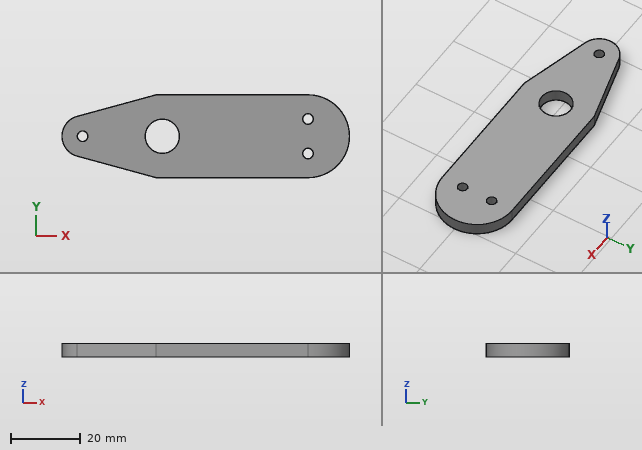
import cadquery as cq
import math

length = 83.0
width = 24.0
thickness = 4.0

nose_radius = 6.0
tail_radius = width / 2
taper_length = 27.2

pin_hole_diameter = 3.0
large_hole_diameter = 9.8
large_hole_offset = 29.0
tail_hole_spacing = 9.95

nose_center_x = nose_radius
tail_center_x = length - tail_radius

corner_dx = taper_length - nose_center_x
corner_distance = math.hypot(corner_dx, tail_radius)
tangent_angle = math.atan2(tail_radius, corner_dx) + math.acos(nose_radius / corner_distance)
tangent_x = nose_center_x + nose_radius * math.cos(tangent_angle)
tangent_y = nose_radius * math.sin(tangent_angle)

plate = (
    cq.Workplane("XY")
    .moveTo(tangent_x, tangent_y)
    .lineTo(taper_length, tail_radius)
    .lineTo(tail_center_x, tail_radius)
    .threePointArc((length, 0), (tail_center_x, -tail_radius))
    .lineTo(taper_length, -tail_radius)
    .lineTo(tangent_x, -tangent_y)
    .threePointArc((0, 0), (tangent_x, tangent_y))
    .close()
    .extrude(thickness)
)


def through_holes(centers, diameter):
    """Cylinders that cut through the full plate thickness."""
    return cq.Workplane("XY").pushPoints(centers).circle(diameter / 2).extrude(thickness)


pin_hole_centers = [
    (nose_center_x, 0),
    (tail_center_x, tail_hole_spacing / 2),
    (tail_center_x, -tail_hole_spacing / 2),
]

result = (
    plate
    .cut(through_holes(pin_hole_centers, pin_hole_diameter))
    .cut(through_holes([(large_hole_offset, 0)], large_hole_diameter))
)